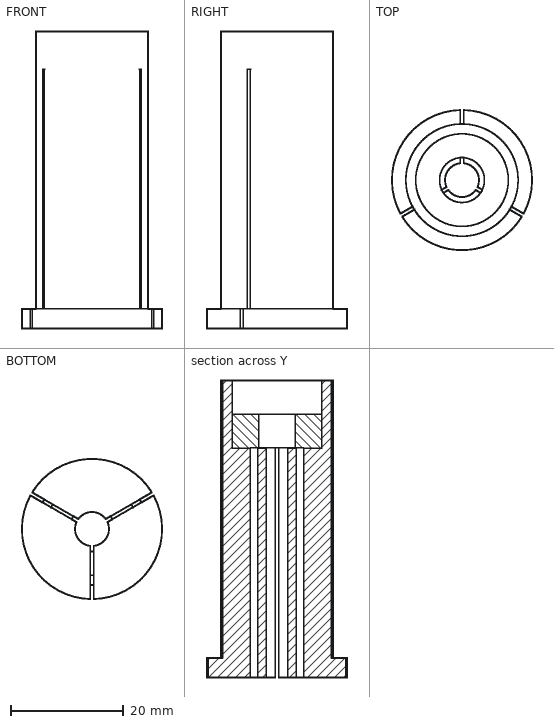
import cadquery as cq

total_height = 52.9
tube_diameter = 20.0
flange_diameter = 25.0
flange_thickness = 3.5
through_hole_diameter = 6.0

recess_diameter = 16.5
recess_depth = 12.0

slot_count = 3
slot_width = 0.6
slot_height = 46.2
first_slot_angle = 90.0

disc_thickness = 6.0
disc_hole_diameter = 8.0

recess_floor = total_height - recess_depth


def cylinder(diameter, bottom, height):
    """Upright cylinder on the Z axis, starting at the height `bottom`."""
    return cq.Workplane("XY", origin=(0, 0, bottom)).circle(diameter / 2).extrude(height)


def slot_cutter(angle):
    """Upright blade from the Z axis outwards past the flange, turned to `angle` degrees."""
    blade = cq.Workplane("XY").box(flange_diameter, slot_width, slot_height, centered=(False, True, False))
    return blade.rotate((0, 0, 0), (0, 0, 1), angle)


def make_sleeve():
    """Flanged tube with a through hole, a top recess and evenly spaced slots."""
    sleeve = cylinder(tube_diameter, 0, total_height)
    sleeve = sleeve.union(cylinder(flange_diameter, 0, flange_thickness))
    sleeve = sleeve.cut(cylinder(through_hole_diameter, 0, total_height))
    sleeve = sleeve.cut(cylinder(recess_diameter, recess_floor, recess_depth))
    for index in range(slot_count):
        sleeve = sleeve.cut(slot_cutter(first_slot_angle + index * 360 / slot_count))
    return sleeve


def make_disc():
    """Ring that fills the lower part of the recess."""
    disc = cylinder(recess_diameter, recess_floor, disc_thickness)
    return disc.cut(cylinder(disc_hole_diameter, recess_floor, disc_thickness))


sleeve = make_sleeve()
disc = make_disc()

result = cq.Compound.makeCompound([sleeve.val(), disc.val()])